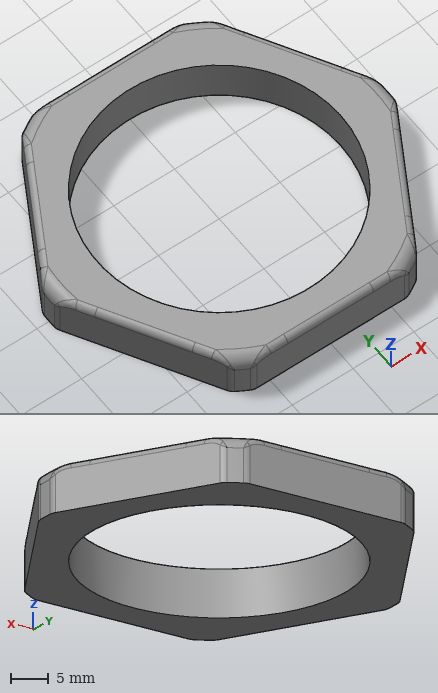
import cadquery as cq
import math

corner_diameter = 55.95
across_flats = 50.0
bore_diameter = 40.0
height = 7.0
side_count = 6

flat_round = 1.0
corner_round = 2.0
blend_radius = 2.0


def turned_disc():
    """Plain disc as wide as the nut is across its corners."""
    return cq.Workplane("XY").circle(corner_diameter / 2).extrude(height)


def hexagon_prism():
    """Hexagon with flats facing +Y and -Y, trimmed by the disc and blended at the uprights."""
    sharp_corner_diameter = across_flats / math.cos(math.pi / side_count)
    hexagon = cq.Workplane("XY").polygon(side_count, sharp_corner_diameter).extrude(height)
    trimmed = hexagon.intersect(turned_disc())
    return trimmed.edges("|Z").fillet(blend_radius)


def round_corner_tops(nut):
    """Keep only what lies inside the disc with its top rim rounded."""
    rounded_disc = turned_disc().faces(">Z").edges().fillet(corner_round)
    return nut.intersect(rounded_disc)


def round_flat_tops(nut):
    """Round the straight top edges; the round runs on along the corner curves."""
    return nut.faces(">Z").edges("%LINE").fillet(flat_round)


nut_body = round_flat_tops(round_corner_tops(hexagon_prism()))
bore = cq.Workplane("XY").circle(bore_diameter / 2).extrude(height)
result = nut_body.cut(bore)